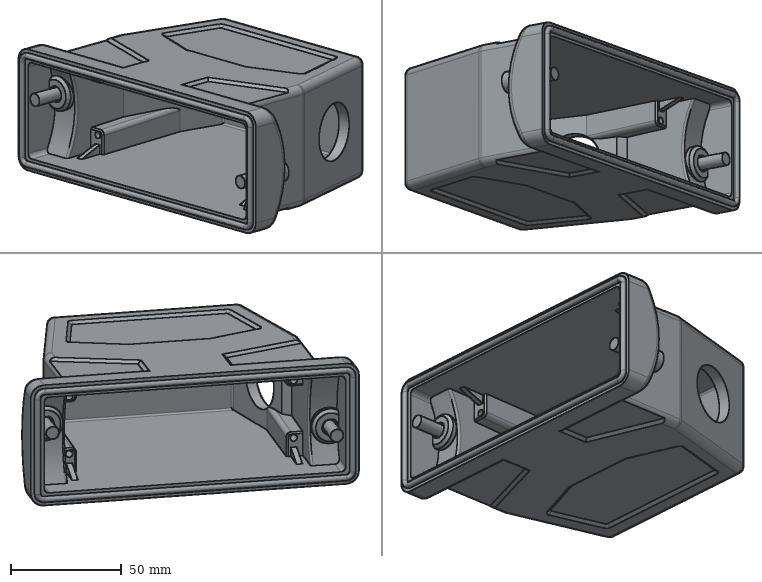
import cadquery as cq
import math


LENGTH = 152.0
DEPTH = 101.8
HEIGHT = 57.0
TOP = HEIGHT / 2

WALL = 2.9
HOOD_HALF = 59.1
SHOULDER_Y = 49.0
SLANT = math.tan(math.radians(15))
HOOD_ROUND = 3.6
BACK_CORNER_ROUND = 3.8
SHOULDER_ROUND = 4.1

BEAD_HEIGHT = 2.0
BEAD_INSET = 1.7
BEAD_WIDTH = 2.7
FLANGE_CROWN = 22.0
CROWN_RADIUS = 48.6
FLANGE_CORNER = 6.1
FLANGE_ROUND = 2.9

CAVITY_HALF = HOOD_HALF - WALL
CAVITY_BACK = DEPTH - WALL
CAVITY_ROUND = 0.9
MOUTH_HALF_X = 69.8
MOUTH_HALF_Z = 22.6
BACK_HALF_Z = 21.1
MOUTH_CORNER = 2.3
LEDGE_ROUND = 1.0
PAD_EXTRA_WALL = 2.6
PAD_CHAMFER = 3.2
PAD_SETBACK = 0.6

ENTRY_DIAMETER = 26.9
ENTRY_Y = 75.4

POST_FRONT_Y = 28.5
POST_INNER_X = 48.6
POST_INNER_Z = 11.0
POST_CORNER = 2.3
POST_CHAMFER = 0.8
POST_DRAFT = 2.0
SCREW_X = 52.0
SCREW_Z = 13.5
SCREW_DIAMETER = 3.2
SCREW_DEPTH = 9.1
RIB_WIDTH = 2.7
RIB_LENGTH = 12.2
RIB_INNER_Z = 18.0

RECESS_DEPTH = 1.4
RECESS_BEVEL = 1.7
RECESS_TAPER = math.degrees(math.atan(RECESS_BEVEL / RECESS_DEPTH))
RECESS_INNER_X = 18.8
LABEL_TOP_Y = 92.5
LABEL_TOP_X = 37.4
LABEL_SIDE_Y = 62.0
LABEL_BOTTOM_Y = 52.1
LABEL_CORNER = 2.3
GRIP_OUTER_Y = 42.1
GRIP_INNER_Y = 28.1

PIN_X = 65.8
PIN_Z = 5.5
PIN_PLACES = [(-PIN_X, PIN_Z), (PIN_X, -PIN_Z)]
PIN_HEAD_DIAMETER = 10.0
PIN_HEAD_END = 28.1
PIN_SHOULDER_Y = 19.8
PIN_ROD_DIAMETER = 6.0
PIN_ROD_END = 2.3
OUTER_BOSS_DIAMETER = 12.0
OUTER_BOSS_TOP_DIAMETER = 11.0
OUTER_BOSS_Y = 22.2
INNER_BOSS_FACE_DIAMETER = 13.4
INNER_BOSS_DIAMETER = 14.6
INNER_BOSS_BASE_DIAMETER = 16.4
INNER_BOSS_Y = 15.4
INNER_BOSS_BEVEL = 0.6
INNER_BOSS_FLARE = 0.9
INNER_BOSS_END = 19.5
ROD_RECESS_DIAMETER = 7.5
ROD_RECESS_DEPTH = 1.5


def rounded_block(half_x, half_z, corner, y_start, y_end):
    """Block along Y with rounded corners in its X-Z section."""
    block = cq.Workplane("XY").box(2 * half_x, y_end - y_start, 2 * half_z)
    return block.edges("|Y").fillet(corner).translate((0, (y_start + y_end) / 2, 0))


def cone_along_y(x, z, y_start, diameter_start, y_end, diameter_end):
    """Cone or cylinder along +Y between two stations."""
    profile = [(0, y_start), (diameter_start / 2, y_start), (diameter_end / 2, y_end), (0, y_end)]
    cone = cq.Workplane("XY").polyline(profile).close().revolve(360, (0, 0), (0, 1))
    return cone.translate((x, 0, z))


def cylinder_along_y(x, z, y_start, y_end, diameter):
    return cone_along_y(x, z, y_start, diameter, y_end, diameter)


def crown(radius):
    """Long cylinder along X whose +Y side is the arched crown."""
    axis_y = FLANGE_CROWN - CROWN_RADIUS
    return cq.Workplane("YZ").center(axis_y, 0).circle(radius).extrude(LENGTH / 2, both=True)


def outer_wall_x(y):
    """Half width of the slanted outside wall at a given Y."""
    return HOOD_HALF - (y - SHOULDER_Y) * SLANT



def make_hood():
    back_half = outer_wall_x(DEPTH)
    outline = [
        (-HOOD_HALF, BEAD_HEIGHT + WALL),
        (HOOD_HALF, BEAD_HEIGHT + WALL),
        (HOOD_HALF, SHOULDER_Y),
        (back_half, DEPTH),
        (-back_half, DEPTH),
        (-HOOD_HALF, SHOULDER_Y),
    ]
    hood = cq.Workplane("XY").polyline(outline).close().extrude(TOP, both=True)
    for corner_y, radius in [(SHOULDER_Y, SHOULDER_ROUND), (DEPTH, BACK_CORNER_ROUND)]:
        near_corner = cq.selectors.BoxSelector((-LENGTH, corner_y - 1.5, -1.5), (LENGTH, corner_y + 1.5, 1.5))
        hood = hood.edges("|Z").edges(near_corner).fillet(radius)
    return hood.faces("<Z or >Z").edges("not <Y").fillet(HOOD_ROUND)


def make_flange():
    block = rounded_block(LENGTH / 2, TOP, FLANGE_CORNER, BEAD_HEIGHT, FLANGE_CROWN + 1.5)
    flange = block.intersect(crown(CROWN_RADIUS))
    return flange.faces(">Y").edges().fillet(FLANGE_ROUND)


def make_bead():
    """Round-topped sealing bead standing on the front of the flange."""
    crest_inset = BEAD_INSET + BEAD_WIDTH / 2
    crest_x = LENGTH / 2 - crest_inset
    crest_z = TOP - crest_inset
    corner = FLANGE_CORNER - crest_inset
    path = rounded_block(crest_x, crest_z, corner, BEAD_HEIGHT, FLANGE_CROWN).faces("<Y").wires()
    radius = BEAD_WIDTH / 2
    section = (
        cq.Workplane("YZ")
        .moveTo(BEAD_HEIGHT, crest_z - radius)
        .lineTo(radius, crest_z - radius)
        .threePointArc((0, crest_z), (radius, crest_z + radius))
        .lineTo(BEAD_HEIGHT, crest_z + radius)
        .close()
    )
    return section.sweep(path)


def both_broad_faces(tool):
    return tool.union(tool.mirror("XY"))


def label_recess():
    side_x = LABEL_TOP_X + (LABEL_TOP_Y - LABEL_SIDE_Y) * SLANT
    half = [
        (RECESS_INNER_X, LABEL_BOTTOM_Y),
        (side_x, LABEL_SIDE_Y),
        (LABEL_TOP_X, LABEL_TOP_Y),
    ]
    outline = half + [(-x, y) for x, y in reversed(half)]
    sketch = cq.Sketch().polygon(outline + outline[:1]).vertices("not <Y").fillet(LABEL_CORNER)
    recess = cq.Workplane("XY", origin=(0, 0, TOP)).placeSketch(sketch)
    return both_broad_faces(recess.extrude(-RECESS_DEPTH, taper=RECESS_TAPER))


def grip_recess(side):
    """Recess running off the side of the hood and down into the flange."""
    slope = (GRIP_OUTER_Y - GRIP_INNER_Y) / (HOOD_HALF - RECESS_INNER_X)
    run_out_x = LENGTH / 2
    run_out_y = GRIP_INNER_Y + slope * (run_out_x - RECESS_INNER_X)
    outline = [
        (side * RECESS_INNER_X, BEAD_HEIGHT),
        (side * run_out_x, BEAD_HEIGHT),
        (side * run_out_x, run_out_y),
        (side * RECESS_INNER_X, GRIP_INNER_Y),
    ]
    recess = cq.Workplane("XY", origin=(0, 0, TOP)).polyline(outline).close()
    return both_broad_faces(recess.extrude(-RECESS_DEPTH, taper=RECESS_TAPER))



def wedge():
    """Space between the two broad inner walls, which close in slightly towards the back."""
    outline = [
        (0, MOUTH_HALF_Z),
        (CAVITY_BACK, BACK_HALF_Z),
        (CAVITY_BACK, -BACK_HALF_Z),
        (0, -MOUTH_HALF_Z),
    ]
    return cq.Workplane("YZ").polyline(outline).close().extrude(LENGTH / 2, both=True)


def hood_cavity():
    """Main cavity, with the +X wall thickened round the cable entry."""
    left_back = outer_wall_x(CAVITY_BACK) - WALL
    right_back = left_back - PAD_EXTRA_WALL
    left_bend_y = CAVITY_BACK - (CAVITY_HALF - left_back) / SLANT
    pad_x = CAVITY_HALF - PAD_SETBACK - PAD_CHAMFER
    pad_y = CAVITY_BACK - (pad_x - right_back) / SLANT
    outline = [
        (-CAVITY_HALF, 0),
        (CAVITY_HALF, 0),
        (CAVITY_HALF, pad_y - PAD_CHAMFER),
        (pad_x, pad_y),
        (right_back, CAVITY_BACK),
        (-left_back, CAVITY_BACK),
        (-CAVITY_HALF, left_bend_y),
    ]
    cavity = cq.Workplane("XY").polyline(outline).close().extrude(TOP, both=True)
    cavity = cavity.intersect(wedge())
    return cavity.faces(">Y").edges().fillet(CAVITY_ROUND)


def mouth_cavity():
    block = cq.Workplane("XY").box(2 * MOUTH_HALF_X, 2 * FLANGE_CROWN, HEIGHT).intersect(wedge())
    block = block.faces("<X or >X").edges("not |Z").fillet(MOUTH_CORNER)
    return block.intersect(crown(CROWN_RADIUS - WALL))


def round_ledges(housing):
    """Round the arched edges where the floor of the mouth drops into the hood."""
    for side in (-1, 1):
        near = (side * CAVITY_HALF - 0.2, FLANGE_CROWN - 2 * WALL, -1.5)
        far = (side * CAVITY_HALF + 0.2, FLANGE_CROWN, 1.5)
        ledge = cq.selectors.BoxSelector(near, far)
        housing = housing.edges(ledge).fillet(LEDGE_ROUND)
    return housing


def cable_entry():
    direction = cq.Vector(1, SLANT, 0)
    middle = cq.Vector(outer_wall_x(ENTRY_Y), ENTRY_Y, 0)
    start = middle - direction * ENTRY_DIAMETER / 2
    return cq.Workplane(cq.Solid.makeCylinder(ENTRY_DIAMETER / 2, ENTRY_DIAMETER, start, direction))


def screw_post():
    """Post in the +X, +Z corner, with the gusset rib in front of it."""
    flare = (CAVITY_BACK - POST_FRONT_Y) * math.tan(math.radians(POST_DRAFT))
    side_profile = [
        (POST_FRONT_Y, POST_INNER_Z),
        (POST_FRONT_Y, MOUTH_HALF_Z + 1.5),
        (CAVITY_BACK, MOUTH_HALF_Z + 1.5),
        (CAVITY_BACK, POST_INNER_Z - flare),
    ]
    post = cq.Workplane("YZ", origin=(POST_INNER_X, 0, 0)).polyline(side_profile).close()
    post = post.extrude(CAVITY_HALF + WALL / 2 - POST_INNER_X)
    post = post.faces("<X").edges("<Z").fillet(POST_CORNER)
    post = post.faces("<Y").edges("<X").chamfer(POST_CHAMFER)
    profile = [
        (POST_FRONT_Y, RIB_INNER_Z),
        (POST_FRONT_Y - RIB_LENGTH, MOUTH_HALF_Z),
        (POST_FRONT_Y, MOUTH_HALF_Z + 1.5),
    ]
    rib = cq.Workplane("YZ", origin=(SCREW_X, 0, 0)).polyline(profile).close()
    rib = rib.extrude(RIB_WIDTH / 2, both=True)
    return post.union(rib)


def screw_hole():
    return cylinder_along_y(SCREW_X, SCREW_Z, POST_FRONT_Y, POST_FRONT_Y + SCREW_DEPTH, SCREW_DIAMETER)


def four_corners(tool):
    pair = tool.union(tool.mirror("YZ"))
    return pair.union(pair.mirror("XY"))



def outer_boss(x, z):
    bevel_y = OUTER_BOSS_Y - (OUTER_BOSS_DIAMETER - OUTER_BOSS_TOP_DIAMETER) / 2
    boss = cylinder_along_y(x, z, PIN_SHOULDER_Y, bevel_y, OUTER_BOSS_DIAMETER)
    tip = cone_along_y(x, z, bevel_y, OUTER_BOSS_DIAMETER, OUTER_BOSS_Y, OUTER_BOSS_TOP_DIAMETER)
    return boss.union(tip)


def inner_boss(x, z):
    rim_y = INNER_BOSS_Y + INNER_BOSS_BEVEL
    base_y = rim_y + INNER_BOSS_FLARE
    tip = cone_along_y(x, z, INNER_BOSS_Y, INNER_BOSS_FACE_DIAMETER, rim_y, INNER_BOSS_DIAMETER)
    flare = cone_along_y(x, z, rim_y, INNER_BOSS_DIAMETER, base_y, INNER_BOSS_BASE_DIAMETER)
    base = cylinder_along_y(x, z, base_y, INNER_BOSS_END, INNER_BOSS_BASE_DIAMETER)
    return tip.union(flare).union(base)


def rod_recess(x, z):
    return cylinder_along_y(x, z, INNER_BOSS_Y, INNER_BOSS_Y + ROD_RECESS_DEPTH, ROD_RECESS_DIAMETER)



def make_pin(x, z):
    """Stepped locking pin: a thick head outside and a thin rod inside the mouth."""
    head = cylinder_along_y(x, z, PIN_SHOULDER_Y, PIN_HEAD_END, PIN_HEAD_DIAMETER)
    return head.union(cylinder_along_y(x, z, PIN_ROD_END, PIN_SHOULDER_Y, PIN_ROD_DIAMETER))


def make_housing():
    hood = make_hood()
    posts = four_corners(screw_post()).intersect(hood)
    screw_holes = four_corners(screw_hole())
    hood = hood.cut(label_recess())
    for side in (-1, 1):
        hood = hood.cut(grip_recess(side))
    housing = hood.union(make_flange()).union(make_bead())
    housing = housing.cut(hood_cavity()).cut(mouth_cavity())
    housing = round_ledges(housing)
    housing = housing.union(posts).cut(screw_holes).cut(cable_entry())
    for x, z in PIN_PLACES:
        housing = housing.union(outer_boss(x, z)).union(inner_boss(x, z))
        housing = housing.cut(rod_recess(x, z)).cut(make_pin(x, z))
    return housing


housing = make_housing()
pins = [make_pin(x, z) for x, z in PIN_PLACES]
result = cq.Compound.makeCompound([housing.val(), *[pin.val() for pin in pins]])